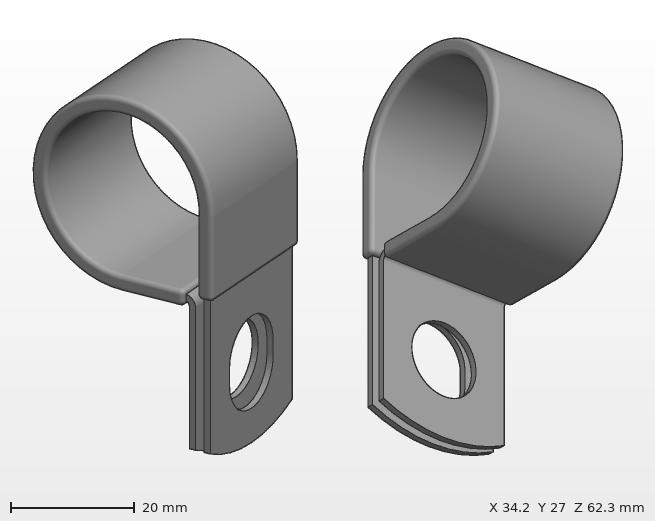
import cadquery as cq
import math

height = 62.3
width = 27.0
loop_radius = 17.105
coat = 0.8
strap_thickness = 1.2
leg_gap = 1.6
bend_inner_radius = 0.9
cushion_end_x = 11.65
cushion_end_z = -15.1
hole_diameter = 13.45
far_hole_stretch = 2.85
hole_above_tip = 14.3
tip_rise = 2.85

cushion_thickness = strap_thickness + 2 * coat
cushion_inner_radius = loop_radius - cushion_thickness
strap_width = width - 2 * coat
strap_outer_radius = loop_radius - coat
strap_inner_radius = strap_outer_radius - strap_thickness
tip_z = loop_radius - height
near_leg_outer_x = strap_inner_radius - leg_gap
near_leg_inner_x = near_leg_outer_x - strap_thickness


def make_cushion():
    """C-shaped sleeve around the loop, rounded on all its outer edges."""
    outer = loop_radius
    inner = cushion_inner_radius
    sleeve = (
        cq.Workplane("XZ")
        .moveTo(cushion_end_x, -outer)
        .lineTo(0, -outer)
        .threePointArc((-outer * math.sqrt(0.5), outer * math.sqrt(0.5)), (outer, 0))
        .lineTo(outer, cushion_end_z)
        .lineTo(inner, cushion_end_z)
        .lineTo(inner, 0)
        .threePointArc((-inner * math.sqrt(0.5), inner * math.sqrt(0.5)), (0, -inner))
        .lineTo(cushion_end_x, -inner)
        .close()
        .extrude(width / 2, both=True)
    )
    side_edges = sleeve.faces("<Y or >Y").edges()
    middle_z = -(outer + inner) / 2
    middle_x = (outer + inner) / 2
    near_end = sleeve.faces(cq.selectors.NearestToPointSelector((cushion_end_x, 0, middle_z)))
    far_end = sleeve.faces(cq.selectors.NearestToPointSelector((middle_x, 0, cushion_end_z)))
    long_end_edges = near_end.add(far_end).edges("|Y")
    return side_edges.add(long_end_edges).fillet(coat)


def make_strap():
    """Two flat legs; the near one bends out of the horizontal end of the loop."""
    far_leg = (
        cq.Workplane("XZ")
        .moveTo(strap_inner_radius, 0)
        .lineTo(strap_outer_radius, 0)
        .lineTo(strap_outer_radius, tip_z)
        .lineTo(strap_inner_radius, tip_z)
        .close()
        .extrude(strap_width / 2, both=True)
    )
    bend_x = near_leg_inner_x - bend_inner_radius
    bend_z = -strap_outer_radius - bend_inner_radius
    bend_outer_radius = bend_inner_radius + strap_thickness
    near_leg = (
        cq.Workplane("XZ")
        .moveTo(0, -strap_inner_radius)
        .lineTo(bend_x, -strap_inner_radius)
        .radiusArc((near_leg_outer_x, bend_z), bend_outer_radius)
        .lineTo(near_leg_outer_x, tip_z)
        .lineTo(near_leg_inner_x, tip_z)
        .lineTo(near_leg_inner_x, bend_z)
        .radiusArc((bend_x, -strap_outer_radius), -bend_inner_radius)
        .lineTo(0, -strap_outer_radius)
        .close()
        .extrude(strap_width / 2, both=True)
    )
    return far_leg, near_leg


def make_leg_envelope(hole_stretch):
    """Leg silhouette along X: straight sides, a curved tip and a bolt hole stretched along Z."""
    half_width = strap_width / 2
    silhouette = (
        cq.Workplane("YZ")
        .moveTo(-half_width, 0)
        .lineTo(-half_width, tip_z + tip_rise)
        .threePointArc((0, tip_z), (half_width, tip_z + tip_rise))
        .lineTo(half_width, 0)
        .close()
        .extrude(loop_radius)
    )
    hole_plane = cq.Workplane("YZ").center(0, tip_z + hole_above_tip)
    bolt_hole = hole_plane.circle(hole_diameter / 2).extrude(loop_radius)
    if hole_stretch > 0:
        slot_length = hole_diameter + hole_stretch
        bolt_hole = hole_plane.slot2D(slot_length, hole_diameter, 90).extrude(loop_radius)
    return silhouette.cut(bolt_hole)


far_leg, near_leg = make_strap()
result = (
    make_cushion()
    .union(far_leg.intersect(make_leg_envelope(far_hole_stretch)))
    .union(near_leg.intersect(make_leg_envelope(0)))
)